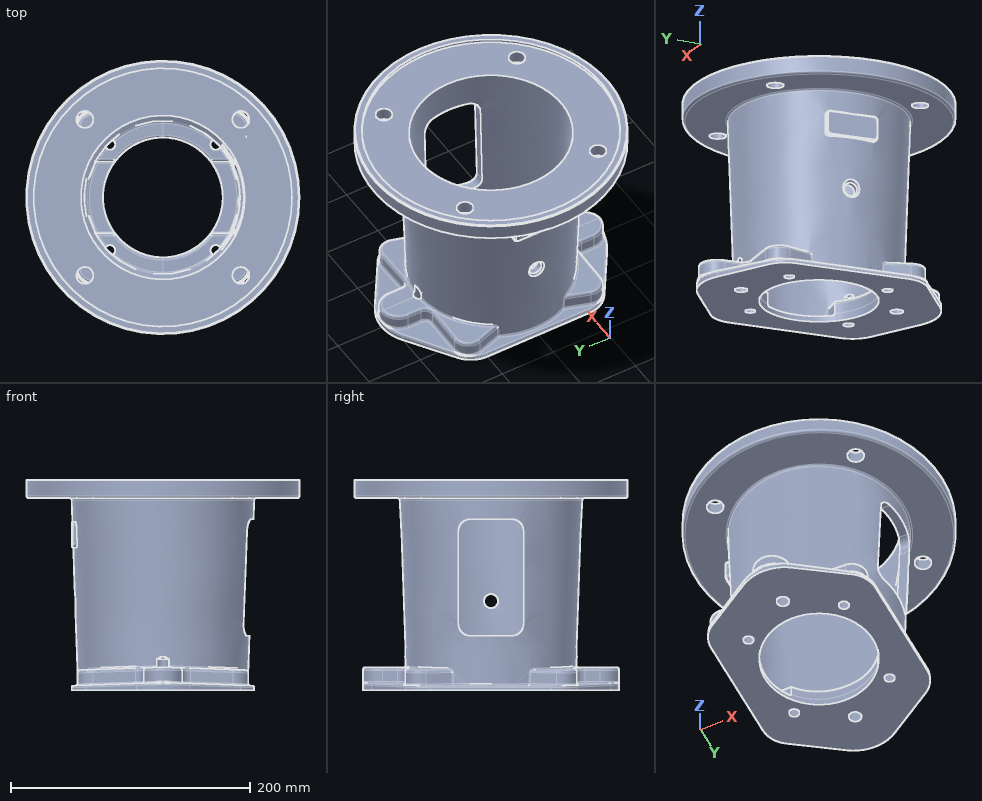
import cadquery as cq
import math

total_height = 176.21

flange_radius = 228.6 / 2
flange_thickness = 15.6
flange_under_round = 2.0
flange_top_chamfer = 0.8
register_radius = 215.9 / 2
register_depth = 3.2
motor_bolt_offset = 65.1
motor_bolt_diameter = 14.0

barrel_radius_top = 76.5
barrel_radius_bottom = 70.9
cavity_radius_top = 68.6
cavity_radius_bottom = 63.1
barrel_root_fillet = 1.5

plate_ridge_height = 6.6
plate_edge_round = 1.5
plate_side_half_width = 76.2
plate_corner_radius = 26.0
plate_end_reach = 107.0
plate_end_radius = 40.0
pad_ridge_height = 19.4
top_draft = 2.0
pad_edge_round = 2.2
pad_start_y = 30.0
pad_half_width = 71.5
pad_side_draft = 18.0
pad_corner_offset = 58.4
root_fillet = 1.5
lobe_radius = 16.0
lobe_root_fillet = 7.0
pilot_radius = 50.0

drill_depth = 26.0
drill_point_angle = 118.0
two_bolt_offset = 70.0
two_bolt_radius = 5.3
four_bolt_offset = 44.2
four_bolt_radius = 4.3

window_width = 54.4
window_bottom = 45.7
window_top = 143.0
window_corner_radius = 9.7
port_height = 74.6
port_radius = 5.8
port_countersink_radius = 7.8
port_countersink_depth = 2.0

nameplate_face_x = -76.3
nameplate_width = 45.8
nameplate_bottom = 119.2
nameplate_top = 141.0
nameplate_corner_radius = 3.5
nameplate_edge_chamfer = 1.0
nameplate_root_x = -70.0

flange_bottom = total_height - flange_thickness
register_floor = total_height - register_depth
pad_corner_radius = pad_half_width - pad_corner_offset
plate_corner_offset = plate_side_half_width - plate_corner_radius
lobe_center_y = plate_end_reach - lobe_radius
plate_end_center_y = plate_end_reach - plate_end_radius
QUADRANT_SIGNS = [(1, 1), (-1, 1), (-1, -1), (1, -1)]


def on_arc(center, radius, degrees):
    angle = math.radians(degrees)
    return (center[0] + radius * math.cos(angle), center[1] + radius * math.sin(angle))


def mirror_x(point):
    return (-point[0], point[1])


def mirror_y(point):
    return (point[0], -point[1])


def cone_between(radius_low, z_low, radius_high, z_high):
    """Solid cone frustum on the Z axis."""
    return (
        cq.Workplane("XZ")
        .polyline([(0, z_low), (radius_low, z_low), (radius_high, z_high), (0, z_high)])
        .close()
        .revolve(360, (0, 0, 0), (0, 1, 0))
    )


def make_flange_and_barrel():
    """Solid flange on the solid tapered barrel, with their edges rounded."""
    barrel = cone_between(barrel_radius_bottom, 0, barrel_radius_top, flange_bottom)
    flange = cq.Workplane("XY").workplane(offset=flange_bottom).circle(flange_radius).extrude(flange_thickness)
    root_edge = cq.selectors.RadiusNthSelector(1)
    return (
        barrel.union(flange)
        .edges("%CIRCLE").edges(root_edge).fillet(barrel_root_fillet)
        .faces(">Z").edges().chamfer(flange_top_chamfer)
        .edges(cq.selectors.BoxSelector(
            (-flange_radius, -flange_radius, flange_bottom - flange_under_round),
            (flange_radius, flange_radius, flange_bottom + flange_under_round),
        ))
        .edges("%CIRCLE").edges(cq.selectors.RadiusNthSelector(-1)).fillet(flange_under_round)
    )


def make_gable(ridge_height):
    """Block over the whole footprint whose top falls away from the X = 0 plane on both sides."""
    eave_height = ridge_height - flange_radius * math.tan(math.radians(top_draft))
    return (
        cq.Workplane("XZ")
        .moveTo(-flange_radius, 0)
        .lineTo(flange_radius, 0)
        .lineTo(flange_radius, eave_height)
        .lineTo(0, ridge_height)
        .lineTo(-flange_radius, eave_height)
        .close()
        .extrude(flange_radius, both=True)
    )


def round_top(block, radius):
    """Round the top outline of a gabled block, leaving its ridge line alone."""
    ridge = cq.selectors.BoxSelector((-1, -flange_radius, 0), (1, flange_radius, total_height))
    return block.newObject([
        edge for edge in block.faces(">Z").edges().vals() if edge not in block.edges(ridge).vals()
    ]).fillet(radius)


def make_pilot_bore():
    return cq.Workplane("XY").circle(pilot_radius).extrude(pad_ridge_height)


def make_plate_outline():
    """Prism with the base plate outline: straight sides, rounded corners and broad rounded Y ends."""
    corner = (plate_corner_offset, plate_corner_offset)
    end = (0, plate_end_center_y)
    dx = corner[0] - end[0]
    dy = corner[1] - end[1]
    lean = math.asin((plate_end_radius - plate_corner_radius) / math.hypot(dx, dy))
    normal = math.degrees(math.atan2(dy, dx) + math.pi / 2 - lean)
    side = on_arc(corner, plate_corner_radius, 0)
    corner_mid = on_arc(corner, plate_corner_radius, normal / 2)
    corner_end = on_arc(corner, plate_corner_radius, normal)
    end_start = on_arc(end, plate_end_radius, normal)
    tip = (0, plate_end_reach)
    return (
        cq.Workplane("XY")
        .moveTo(*mirror_y(side))
        .lineTo(*side)
        .threePointArc(corner_mid, corner_end)
        .lineTo(*end_start)
        .threePointArc(tip, mirror_x(end_start))
        .lineTo(*mirror_x(corner_end))
        .threePointArc(mirror_x(corner_mid), mirror_x(side))
        .lineTo(*mirror_x(mirror_y(side)))
        .threePointArc(mirror_x(mirror_y(corner_mid)), mirror_x(mirror_y(corner_end)))
        .lineTo(*mirror_x(mirror_y(end_start)))
        .threePointArc(mirror_y(tip), mirror_y(end_start))
        .lineTo(*mirror_y(corner_end))
        .threePointArc(mirror_y(corner_mid), mirror_y(side))
        .close()
        .extrude(pad_ridge_height)
    )


def make_pad():
    """Pad on the +Y side: two rounded corners and a central bolt lobe."""
    corner = (pad_corner_offset, pad_corner_offset)
    side_end = on_arc(corner, pad_corner_radius, -pad_side_draft)
    side_rise = side_end[1] - pad_start_y
    side_start = (side_end[0] - side_rise * math.tan(math.radians(pad_side_draft)), pad_start_y)
    corner_mid = on_arc(corner, pad_corner_radius, 45)
    corner_end = on_arc(corner, pad_corner_radius, 90)
    root_center = (lobe_radius + lobe_root_fillet, corner_end[1] + lobe_root_fillet)
    root_start = on_arc(root_center, lobe_root_fillet, 270)
    root_mid = on_arc(root_center, lobe_root_fillet, 225)
    root_end = on_arc(root_center, lobe_root_fillet, 180)
    lobe_start = (lobe_radius, lobe_center_y)
    return (
        cq.Workplane("XY")
        .moveTo(*mirror_x(side_start))
        .lineTo(*side_start)
        .lineTo(*side_end)
        .threePointArc(corner_mid, corner_end)
        .lineTo(*root_start)
        .threePointArc(root_mid, root_end)
        .lineTo(*lobe_start)
        .threePointArc((0, plate_end_reach), mirror_x(lobe_start))
        .lineTo(*mirror_x(root_end))
        .threePointArc(mirror_x(root_mid), mirror_x(root_start))
        .lineTo(*mirror_x(corner_end))
        .threePointArc(mirror_x(corner_mid), mirror_x(side_end))
        .close()
        .extrude(pad_ridge_height)
        .intersect(make_gable(pad_ridge_height))
        .cut(make_pilot_bore())
    )


def make_foot():
    """Base plate and both pads, with the plate rim rounded and fillets around the pads."""
    pad = round_top(make_pad(), pad_edge_round)
    wide_plate = make_gable(plate_ridge_height)
    outline = make_plate_outline()
    plate = outline.intersect(wide_plate)
    rim_waste = plate.cut(round_top(plate, plate_edge_round))
    pad_on_plate = wide_plate.union(pad)
    pad_foot = cq.selectors.BoxSelector(
        (-plate_end_reach, pad_start_y - 1, 0),
        (plate_end_reach, plate_end_reach, plate_ridge_height + root_fillet),
    )
    ridge = cq.selectors.BoxSelector((-1, 0, 0), (1, flange_radius, plate_ridge_height + 1))
    pad_on_plate = pad_on_plate.edges(pad_foot - ridge).fillet(root_fillet)
    foot = pad_on_plate.union(pad_on_plate.mirror("XZ")).intersect(outline).cut(rim_waste)
    return foot.union(pad).union(pad.mirror("XZ"))


def make_drill(x, y, radius):
    """Blind drilled hole from the bottom face with a conical point."""
    point_height = radius / math.tan(math.radians(drill_point_angle / 2))
    profile = [(0, 0), (radius, 0), (radius, drill_depth), (0, drill_depth + point_height)]
    drill = cq.Workplane("XZ").polyline(profile).close().revolve(360, (0, 0, 0), (0, 1, 0))
    return drill.translate((x, y, 0))


def make_window():
    """Rounded rectangular opening through the +X wall."""
    height = window_top - window_bottom
    return (
        cq.Workplane("YZ")
        .center(0, (window_top + window_bottom) / 2)
        .rect(window_width, height)
        .extrude(flange_radius)
        .edges("|X").fillet(window_corner_radius)
    )


def make_port():
    """Countersunk round hole through the -X wall."""
    wall_slope = (barrel_radius_top - barrel_radius_bottom) / flange_bottom
    wall_x = barrel_radius_bottom + wall_slope * port_height
    countersink_slope = (port_countersink_radius - port_radius) / port_countersink_depth
    outer_radius = port_countersink_radius + countersink_slope * port_countersink_depth
    profile = [
        (0, 0),
        (0, port_radius),
        (wall_x - port_countersink_depth, port_radius),
        (wall_x + port_countersink_depth, outer_radius),
        (wall_x + port_countersink_depth, 0),
    ]
    port = cq.Workplane("XY").polyline(profile).close().revolve(360, (0, 0, 0), (1, 0, 0))
    return port.rotate((0, 0, 0), (0, 0, 1), 180).translate((0, 0, port_height))


def make_nameplate():
    return (
        cq.Workplane("YZ")
        .workplane(offset=nameplate_face_x)
        .center(0, (nameplate_top + nameplate_bottom) / 2)
        .rect(nameplate_width, nameplate_top - nameplate_bottom)
        .extrude(nameplate_root_x - nameplate_face_x)
        .edges("|X").fillet(nameplate_corner_radius)
        .faces("<X").edges().chamfer(nameplate_edge_chamfer)
    )


body = make_flange_and_barrel()
body = body.union(make_nameplate())

body = body.cut(cone_between(cavity_radius_bottom, 0, cavity_radius_top, total_height))
body = body.cut(make_window()).cut(make_port())

body = body.union(make_foot())
barrel_foot = cq.selectors.BoxSelector(
    (-barrel_radius_top, -barrel_radius_top, plate_ridge_height / 2),
    (barrel_radius_top, barrel_radius_top, pad_ridge_height + root_fillet),
)
body = body.faces("%CONE").edges(barrel_foot).fillet(root_fillet)
body = body.cut(make_pilot_bore())

body = body.cut(
    cq.Workplane("XY").workplane(offset=register_floor).circle(register_radius).extrude(register_depth)
)
body = body.cut(
    cq.Workplane("XY")
    .workplane(offset=flange_bottom)
    .rect(2 * motor_bolt_offset, 2 * motor_bolt_offset, forConstruction=True)
    .vertices()
    .circle(motor_bolt_diameter / 2)
    .extrude(flange_thickness)
)
for sign_x, sign_y in QUADRANT_SIGNS:
    body = body.cut(make_drill(sign_x * four_bolt_offset, sign_y * four_bolt_offset, four_bolt_radius))
for sign_y in (1, -1):
    body = body.cut(make_drill(0, sign_y * two_bolt_offset, two_bolt_radius))

result = body